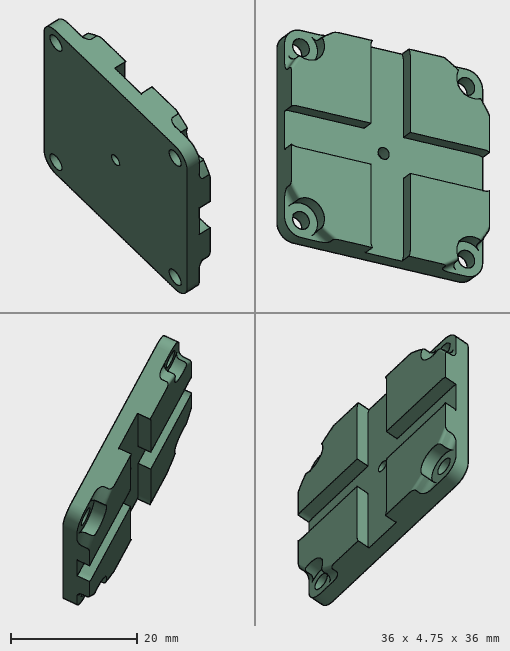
import cadquery as cq

SIDE = 36.0
THICKNESS = 4.75
FLANGE_THICKNESS = 2.52
CORNER_RADIUS = 3.0
CUT_MARGIN = 3.6

MOUNT_HOLE_DIAMETER = 3.02
MOUNT_SPACING = SIDE - 2 * CORNER_RADIUS
CENTRE_HOLE_DIAMETER = 2.0
RELIEF_DIAMETER = 5.98

DISC_RADIUS = 20.7
FLOOR_FILLET = 0.9
RIM_FILLET = 0.5

CHANNEL_WIDTH = 7.13
CHANNEL_LENGTH = 38.1
CHANNEL_END_RADIUS = 2.0


def layer(y):
    """Workplane at height y with local axes X and Z; a negative extrusion goes towards +Y."""
    return cq.Workplane("XZ", origin=(0, y, 0))


def rounded_plate():
    plate = layer(0).rect(SIDE, SIDE).extrude(-FLANGE_THICKNESS)
    return plate.edges("|Y").fillet(CORNER_RADIUS)


def raised_disc():
    """Disc with a rounded rim and a concave fillet at its foot, trimmed to the square."""
    foot_radius = DISC_RADIUS + FLOOR_FILLET
    foot_top = FLANGE_THICKNESS + FLOOR_FILLET
    rim_start = THICKNESS - RIM_FILLET
    profile = (
        cq.Workplane("XY")
        .moveTo(0, FLANGE_THICKNESS)
        .lineTo(foot_radius, FLANGE_THICKNESS)
        .radiusArc((DISC_RADIUS, foot_top), FLOOR_FILLET)
        .lineTo(DISC_RADIUS, rim_start)
        .radiusArc((DISC_RADIUS - RIM_FILLET, THICKNESS), -RIM_FILLET)
        .lineTo(0, THICKNESS)
        .close()
    )
    disc = profile.revolve(360, (0, 0, 0), (0, 1, 0))
    square = layer(0).rect(SIDE, SIDE).extrude(-THICKNESS)
    return disc.intersect(square)


def at_mounts(y):
    return layer(y).rect(MOUNT_SPACING, MOUNT_SPACING, forConstruction=True).vertices()


def rounded_channel(size_x, size_z):
    block = layer(FLANGE_THICKNESS).rect(size_x, size_z).extrude(-CUT_MARGIN)
    return block.edges("|Y").fillet(CHANNEL_END_RADIUS)


def channel_cutter():
    along_x = rounded_channel(CHANNEL_LENGTH, CHANNEL_WIDTH)
    along_z = rounded_channel(CHANNEL_WIDTH, CHANNEL_LENGTH)
    return along_x.union(along_z)


screw_reliefs = at_mounts(FLANGE_THICKNESS).circle(RELIEF_DIAMETER / 2).extrude(-CUT_MARGIN)
mount_holes = at_mounts(0).circle(MOUNT_HOLE_DIAMETER / 2).extrude(-THICKNESS)
centre_hole = layer(0).circle(CENTRE_HOLE_DIAMETER / 2).extrude(-THICKNESS)

pads = raised_disc().cut(screw_reliefs).cut(channel_cutter())
result = rounded_plate().union(pads).cut(mount_holes).cut(centre_hole)